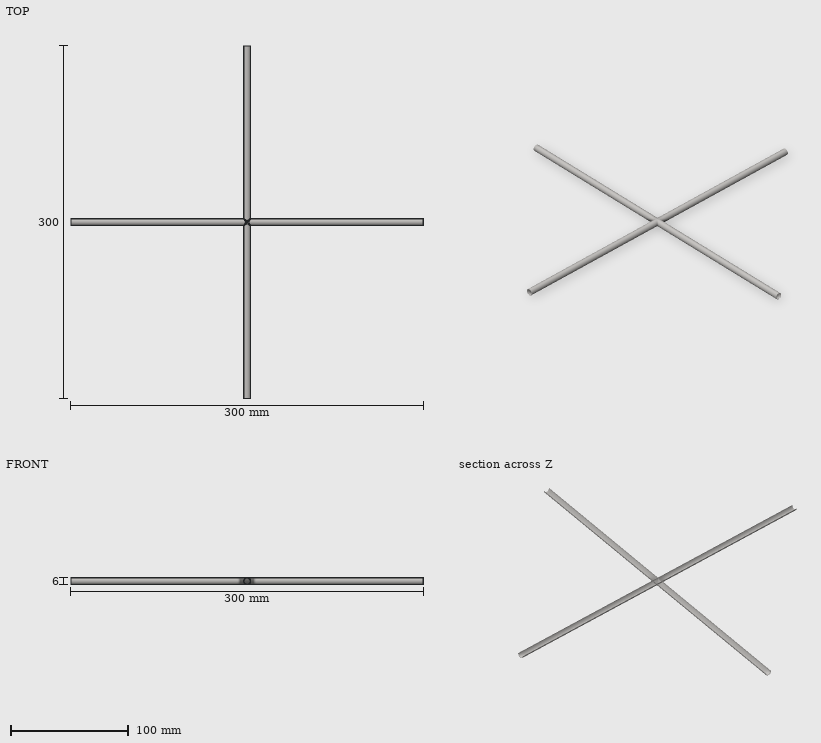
import cadquery as cq

SPAN = 300.0
OUTER_DIAMETER = 6.0
WALL = 0.35

inner_diameter = OUTER_DIAMETER - 2 * WALL


def tube(section_plane):
    """Open-ended tube of the full span, normal to the section plane and centred on the origin."""
    ring = cq.Workplane(section_plane).circle(OUTER_DIAMETER / 2).circle(inner_diameter / 2)
    return ring.extrude(SPAN / 2, both=True)


tube_along_x = tube("YZ")
tube_along_y = tube("XZ")
result = tube_along_x.union(tube_along_y)